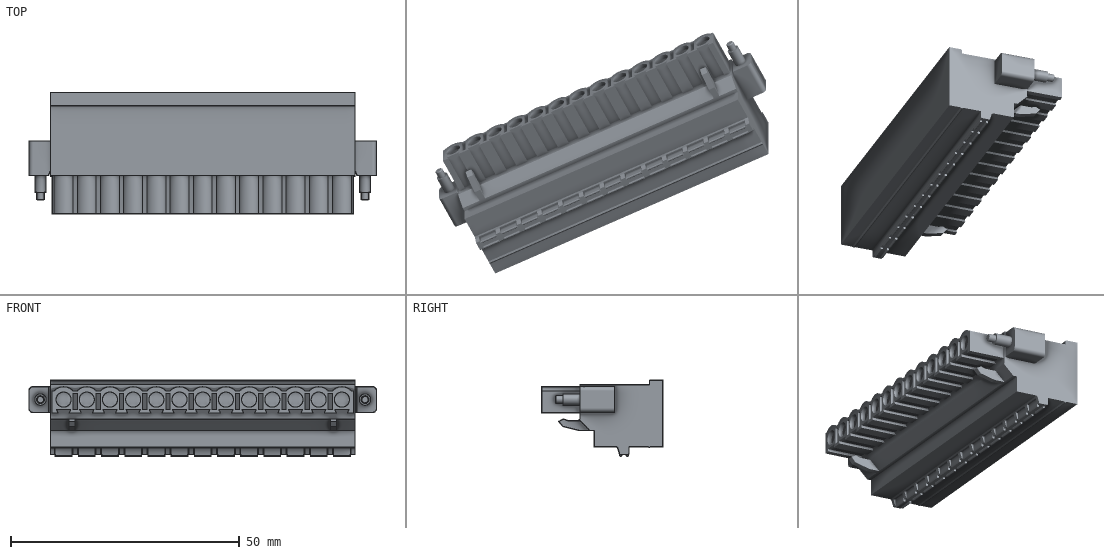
import cadquery as cq
import math


overall_width = 76.2
overall_depth = 26.6
overall_height = 16.71

position_count = 13
pitch = 5.08
row_width = position_count * pitch
position_centers = [(i - (position_count - 1) / 2) * pitch for i in range(position_count)]
inner_boundaries = [x + pitch / 2 for x in position_centers[:-1]]

socket_length = 8.4
body_width = 66.8
body_depth = overall_depth - socket_length
foot_height = 2.1
body_height = overall_height - foot_height
ridge_height = 1.0
ridge_depth = 3.0
roof_z = body_height - ridge_height
back_ridge_front = body_depth - ridge_depth
ridge_chamfer = 0.2
bottom_bead_half_width = 0.35
bottom_bead_height = 0.2
undercut_z = 5.75
front_bead_height = 0.35
front_bead_depth = 0.15
undercut_y = 2.2
recess_y = 3.1
recess_z = 3.55

axis_z = 10.33
socket_bottom_z = 7.45
socket_radius = 2.82
wire_hole_diameter = 3.3
wire_hole_depth = 1.0
slot_width = 0.95
slot_bottom_z = 8.15
slot_top_z = 11.7
notch_top_width = 3.1
notch_bottom_width = 2.45

flange_length = 7.6
flange_height = 5.7
flange_corner_radius = 0.95
relief_width = 0.4
relief_depth = 0.95
screw_x = 35.55
screw_diameter = 2.5
screw_length = 3.7
tip_diameter = 1.7
tip_length = 1.65
tip_chamfer = 0.15

latch_width = 1.35
latch_x = 28.65
latch_barb_start_y = -2.65
latch_barb_y = -3.6
latch_barb_z = 6.1
latch_tip_y = -4.65
latch_tip_z = 5.55
latch_nose_y = -3.75
latch_nose_z = 4.45
latch_root_y = -0.2

foot_front = 8.0
foot_back = 10.8
foot_core_front = 8.7
foot_core_back = 10.65
foot_core_height = 1.7
foot_back_height = 1.5
foot_lip = 0.25
rib_width = 1.0
rib_clearance = 0.2
rail_thickness = 0.5
rail_chamfer = 0.15
rail_length = pitch - rib_width - 2 * rib_clearance


def box(x_limits, y_limits, z_limits):
    """Axis-aligned block between pairs of limits."""
    (x0, x1), (y0, y1), (z0, z1) = x_limits, y_limits, z_limits
    return cq.Workplane("XY").box(x1 - x0, y1 - y0, z1 - z0, centered=False).translate((x0, y0, z0))


def side_profile(points, width, center_x=0):
    """Extrude a (Y, Z) outline along X, centred on center_x."""
    return cq.Workplane("YZ", origin=(center_x, 0, 0)).polyline(points).close().extrude(width / 2, both=True)


def cylinder_along_y(x, diameter, y_start, y_end):
    """Cylinder on the socket axis height, running toward the front from y_start to y_end."""
    center = cq.Workplane("XZ", origin=(x, y_start, axis_z))
    return center.circle(diameter / 2).extrude(y_start - y_end)


def make_housing():
    """Housing with a raised back ridge, a fine bead underneath and an undercut front."""
    return side_profile(
        [
            (body_depth, 0),
            (body_depth, body_height),
            (back_ridge_front + ridge_chamfer, body_height),
            (back_ridge_front, body_height - ridge_chamfer),
            (back_ridge_front, roof_z),
            (0, roof_z),
            (0, undercut_z + front_bead_height),
            (-front_bead_depth, undercut_z + front_bead_height / 2),
            (0, undercut_z),
            (undercut_y, recess_z),
            (recess_y, recess_z),
            (recess_y, 0),
            (back_ridge_front - bottom_bead_half_width, 0),
            (back_ridge_front, -bottom_bead_height),
            (back_ridge_front + bottom_bead_half_width, 0),
        ],
        body_width,
    )


def make_socket(x):
    """One socket block with an arched roof between flat shoulders."""
    half_arch = (pitch - slot_width) / 2
    shoulder_z = axis_z + math.sqrt(socket_radius**2 - half_arch**2)
    return (
        cq.Workplane("XZ", origin=(x, 0, 0))
        .moveTo(-pitch / 2, socket_bottom_z)
        .lineTo(-pitch / 2, shoulder_z)
        .lineTo(-half_arch, shoulder_z)
        .threePointArc((0, axis_z + socket_radius), (half_arch, shoulder_z))
        .lineTo(pitch / 2, shoulder_z)
        .lineTo(pitch / 2, socket_bottom_z)
        .close()
        .extrude(socket_length)
    )


def make_notch(x):
    """Dovetail groove along the underside of one socket."""
    half_top = notch_top_width / 2
    half_bottom = notch_bottom_width / 2
    outline = [
        (-half_bottom, socket_bottom_z),
        (-half_top, slot_bottom_z),
        (half_top, slot_bottom_z),
        (half_bottom, socket_bottom_z),
    ]
    return cq.Workplane("XZ", origin=(x, 0, 0)).polyline(outline).close().extrude(socket_length)


def make_sockets():
    """Row of sockets with wire holes, bottom notches and slots between neighbours."""
    wire_hole_floor_y = wire_hole_depth - socket_length
    row = make_socket(position_centers[0])
    for x in position_centers[1:]:
        row = row.union(make_socket(x))
    for x in position_centers:
        row = row.cut(cylinder_along_y(x, wire_hole_diameter, wire_hole_floor_y, -socket_length))
        row = row.cut(make_notch(x))
    for x in inner_boundaries:
        slot_limits = (x - slot_width / 2, x + slot_width / 2)
        row = row.cut(box(slot_limits, (-socket_length, 0), (slot_bottom_z, slot_top_z)))
    return row


def make_right_flange():
    """Flange on the +X end with a wedge-shaped relief beside the housing and its stepped screw."""
    inner_x = body_width / 2
    z_limits = (axis_z - flange_height / 2, axis_z + flange_height / 2)
    flange = box((inner_x, overall_width / 2), (0, flange_length), z_limits)
    flange = flange.edges("|Y and >X").fillet(flange_corner_radius)
    relief_outline = [(inner_x, 0), (inner_x + relief_width, 0), (inner_x, relief_depth)]
    relief = cq.Workplane("XY", origin=(0, 0, z_limits[0])).polyline(relief_outline).close()
    flange = flange.cut(relief.extrude(flange_height))
    tip_end = -screw_length - tip_length
    tip = cylinder_along_y(screw_x, tip_diameter, 0, tip_end).faces("<Y").chamfer(tip_chamfer)
    return flange.union(cylinder_along_y(screw_x, screw_diameter, 0, -screw_length)).union(tip)


def make_latch(x):
    """Hooked finger reaching forward from the undercut."""
    return side_profile(
        [
            (recess_y, recess_z),
            (undercut_y, undercut_z),
            (latch_barb_start_y, undercut_z),
            (latch_barb_y, latch_barb_z),
            (latch_tip_y, latch_tip_z),
            (latch_nose_y, latch_nose_z),
            (latch_root_y, recess_z),
        ],
        latch_width,
        x,
    )


def make_foot():
    """Foot with sloped ribs at the position boundaries and two thin rails under each position."""
    core_front = foot_core_front + rail_thickness
    foot = side_profile(
        [
            (foot_front, 0),
            (foot_front + foot_lip, -foot_lip),
            (core_front, -foot_lip),
            (core_front, -foot_core_height),
            (foot_core_back, -foot_core_height),
            (foot_back, -foot_back_height),
            (foot_back, 0),
        ],
        body_width,
    )
    rib_outline = [
        (core_front, -foot_lip),
        (foot_front + foot_lip, -foot_lip),
        (foot_core_front, -foot_core_height),
        (core_front, -foot_core_height),
    ]
    for x in inner_boundaries:
        foot = foot.union(side_profile(rib_outline, rib_width, x))
    end_rib_width = (body_width - row_width + rib_width) / 2
    for side in (-1, 1):
        foot = foot.union(side_profile(rib_outline, end_rib_width, side * (body_width - end_rib_width) / 2))
    for x in position_centers:
        rail_x = (x - rail_length / 2, x + rail_length / 2)
        foot = foot.union(box(rail_x, (foot_core_front, core_front), (-foot_core_height, 0)))
        for rail_back in (core_front, foot_core_back):
            rail_y = (rail_back - rail_thickness, rail_back)
            rail = box(rail_x, rail_y, (-foot_height, -foot_core_height))
            foot = foot.union(rail.faces("<Z").edges("|X").chamfer(rail_chamfer))
    return foot


right_flange = make_right_flange()
result = make_housing().union(make_sockets()).union(make_foot())
result = result.union(right_flange).union(right_flange.mirror("YZ"))
for side in (-1, 1):
    result = result.union(make_latch(side * latch_x))